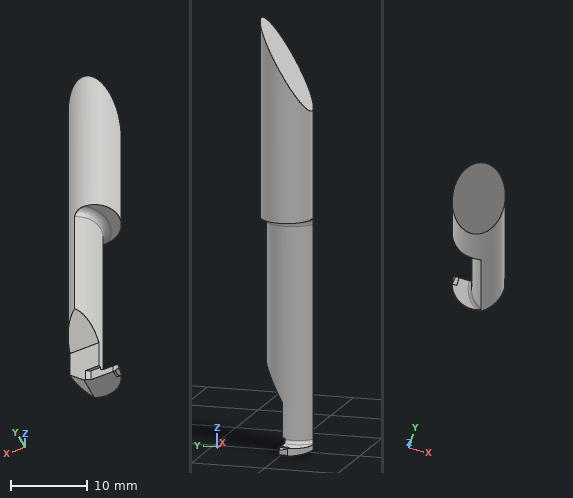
import cadquery as cq
import math

length = 58.3
radius = 3.5
end_cut_angle = 60.0

neck_axis_x = 2.7
shoulder_z = 31.55
shoulder_fillet = 1.05

head_top_z = 1.2
head_root_fillet = 0.45
head_clearance = 3.5
nose_x = -2.9
edge_slope = 1.0

flat_y = 0.35
flat_top_z = 6.6
rake_end_x = 0.6
rake_ramp = 0.6
rake_top_z = 1.85

chamfer_start_x = 1.35
chamfer_height = 2.2

tip_inner_x = -2.7
tip_depth = 1.1
nose_corner = 0.3

reach = 4 * radius
margin = 0.6


def shank():
    """Round bar with its upper end cut off at a slant, highest at +Y."""
    bar = cq.Workplane("XY").circle(radius).extrude(length)
    drop = 2 * radius * math.tan(math.radians(end_cut_angle))
    waste = (
        cq.Workplane("YZ")
        .polyline([(radius, length), (-radius, length), (-radius, length - drop)])
        .close()
        .extrude(radius, both=True)
    )
    return bar.cut(waste)


def neck_recess():
    """Space around the neck, with a sloping floor above the head and rounded roots."""
    ring = (
        cq.Workplane("XY")
        .center(neck_axis_x, 0)
        .circle(reach)
        .circle(radius)
        .extrude(shoulder_z)
    )
    rise = reach * 2 * math.tan(math.radians(head_clearance))
    below_floor = (
        cq.Workplane("YZ")
        .polyline([
            (-2 * reach, -reach),
            (2 * reach, -reach),
            (2 * reach, head_top_z + rise),
            (-2 * reach, head_top_z - rise),
        ])
        .close()
        .extrude(2 * reach, both=True)
    )
    recess = ring.cut(below_floor)
    inner = cq.selectors.BoxSelector(
        (neck_axis_x - radius - margin, -radius - margin, -margin),
        (neck_axis_x + radius + margin, radius + margin, shoulder_z + margin),
        boundingbox=True,
    )
    recess = recess.edges(inner).edges(">Z").fillet(shoulder_fillet)
    return recess.edges(inner).edges("<Z").fillet(head_root_fillet)


def relief():
    """Flat on the +Y side of the lower neck, running out along a slope."""
    run_out = (reach - flat_y) * math.tan(math.radians(end_cut_angle))
    return (
        cq.Workplane("YZ")
        .polyline([
            (flat_y, 0),
            (reach, 0),
            (reach, flat_top_z + run_out),
            (flat_y, flat_top_z),
        ])
        .close()
        .extrude(radius, both=True)
    )


def rake_face():
    """Step that lowers the head's +Y face to y = 0, with a ramp at its end."""
    return (
        cq.Workplane("XY")
        .polyline([
            (-reach, 0),
            (rake_end_x, 0),
            (rake_end_x + rake_ramp, flat_y),
            (-reach, flat_y),
        ])
        .close()
        .extrude(rake_top_z)
    )


def corner_chamfer():
    return (
        cq.Workplane("XZ")
        .polyline([(chamfer_start_x, 0), (radius, 0), (radius, chamfer_height)])
        .close()
        .extrude(radius, both=True)
    )


def bottom_clearance():
    """Block whose tilted upper face passes through the nose point at y = 0, z = 0."""
    return (
        cq.Workplane("XY")
        .box(2 * reach, 2 * reach, reach, centered=(True, True, False))
        .translate((0, 0, -reach))
        .rotate((0, 0, 0), (1, 0, 0), -head_clearance)
        .rotate((0, 0, 0), (0, 1, 0), -edge_slope)
        .translate((nose_x, 0, 0))
    )


def nose_relief():
    """Bevel on the outer side of the nose, below and above the cutting edge."""
    lower = [(-radius, 0), (nose_x, 0), (-radius, nose_corner)]
    upper = [
        (-radius, head_top_z),
        (-radius + nose_corner, head_top_z),
        (-radius, head_top_z - nose_corner),
    ]
    lower_bevel = cq.Workplane("XZ").polyline(lower).close().extrude(tip_depth)
    upper_bevel = cq.Workplane("XZ").polyline(upper).close().extrude(tip_depth)
    return lower_bevel.union(upper_bevel)


def tip_space():
    """Corner of the head occupied by the cutting tip."""
    return (
        cq.Workplane("XY")
        .box(tip_inner_x + reach, tip_depth, rake_top_z, centered=False)
        .translate((-reach, -tip_depth, 0))
    )


blank = shank()
for cutter in (
    neck_recess(),
    relief(),
    rake_face(),
    corner_chamfer(),
    bottom_clearance(),
    nose_relief(),
):
    blank = blank.cut(cutter)

holder = blank.cut(tip_space())
cutting_tip = blank.intersect(tip_space())

result = cq.Compound.makeCompound([holder.val(), cutting_tip.val()])